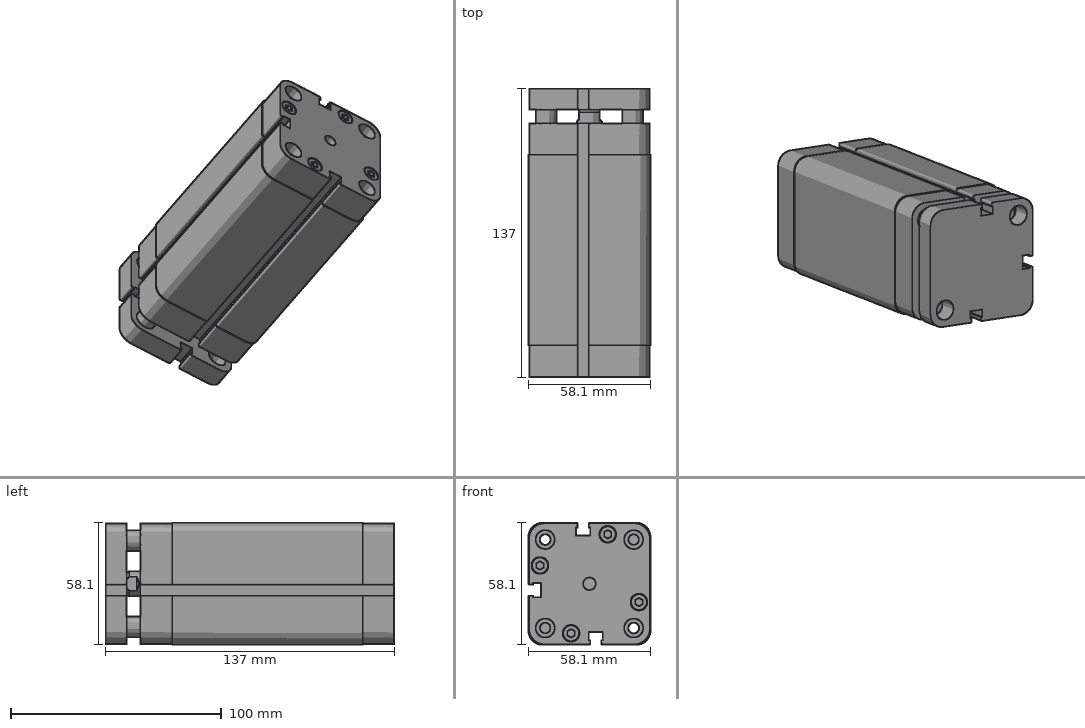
import cadquery as cq
import math


cap_length = 15.0
tube_length = 90.5
gap_length = 6.5
plate_length = 10.0
body_length = 2 * cap_length + tube_length
plate_start = body_length + gap_length

tube_width = 58.1
cap_width = 57.3
corner_radius = 7.0

slot_offset = -3.0
slot_width = 6.6
slot_neck_width = 5.2
slot_floor_height = 23.0
slot_shoulder_height = 26.7
slot_mouth_radius = 0.7
slot_angles = (0, 90, 180)

mount_hole_offset = 21.0
mount_hole_diameter = 5.0
mount_counterbore_diameter = 9.0
mount_counterbore_depth = 6.0

screw_offset_across = 8.7
screw_offset_out = 23.5
screw_pocket_diameter = 8.0
screw_pocket_depth = 4.0
screw_head_diameter = 7.5
screw_head_recess = 0.2
socket_across_flats = 3.5
socket_depth = 2.0

center_hole_diameter = 6.0
center_hole_depth = cap_length

rod_diameter = 12.0
rod_chamfer_length = 1.2
rod_chamfer_depth = 0.6
rod_across_flats = 10.0
flat_length = 4.7

pin_diameter = 10.0
pin_offset = 20.5
plate_hole_diameter = 9.5


def plane_at(y):
    """XZ workplane at position y; sketches on it extrude toward +Y with a negative distance."""
    return cq.Workplane("XZ", origin=(0, y, 0))


def bar(points, diameter, y_start, length):
    """Round bars at the given (x, z) points, running toward +Y."""
    return plane_at(y_start).pushPoints(points).circle(diameter / 2).extrude(-length)


def turned(point, angle):
    """Turn an (x, z) point about the part axis."""
    x, z = point
    c = math.cos(math.radians(angle))
    s = math.sin(math.radians(angle))
    return (x * c - z * s, x * s + z * c)


def slot_cutter(width, y_start, length):
    """T-slot with a rounded mouth, for the top face of a section of this width."""
    face = width / 2
    radius = slot_mouth_radius
    half_slot = slot_width / 2
    half_neck = slot_neck_width / 2
    arc_inset = radius * (1 - math.sqrt(0.5))
    return (
        cq.Workplane("XZ", origin=(slot_offset, y_start, 0))
        .moveTo(-half_slot, slot_floor_height)
        .lineTo(half_slot, slot_floor_height)
        .lineTo(half_slot, slot_shoulder_height)
        .lineTo(half_neck, slot_shoulder_height)
        .lineTo(half_neck, face - radius)
        .threePointArc((half_neck + arc_inset, face - arc_inset), (half_neck + radius, face))
        .lineTo(-half_neck - radius, face)
        .threePointArc((-half_neck - arc_inset, face - arc_inset), (-half_neck, face - radius))
        .lineTo(-half_neck, slot_shoulder_height)
        .lineTo(-half_slot, slot_shoulder_height)
        .close()
        .extrude(-length)
    )


def section(width, y_start, length):
    """Rounded square block with its sensor slots."""
    block = plane_at(y_start).rect(width, width).extrude(-length).edges("|Y").fillet(corner_radius)
    cutter = slot_cutter(width, y_start, length)
    for angle in slot_angles:
        block = block.cut(cutter.rotate((0, 0, 0), (0, -1, 0), angle))
    return block


def body():
    """Rear cap, tube and front cap with the mounting holes and the blind center hole."""
    corner = (mount_hole_offset, mount_hole_offset)
    corners = [turned(corner, 90 * i) for i in range(4)]
    return (
        section(cap_width, 0, cap_length)
        .union(section(tube_width, cap_length, tube_length))
        .union(section(cap_width, cap_length + tube_length, cap_length))
        .cut(bar(corners, mount_hole_diameter, 0, body_length))
        .cut(bar(corners, mount_counterbore_diameter, 0, mount_counterbore_depth))
        .cut(bar([(0, 0)], center_hole_diameter, 0, center_hole_depth))
    )


def add_cap_screws(part):
    """Sink a socket head screw into the rear face beside each side."""
    screw = (screw_offset_across, screw_offset_out)
    points = [turned(screw, 90 * i) for i in range(4)]
    pockets = bar(points, screw_pocket_diameter, 0, screw_pocket_depth)
    head_length = screw_pocket_depth - screw_head_recess
    heads = bar(points, screw_head_diameter, screw_head_recess, head_length)
    socket_across_corners = socket_across_flats / math.cos(math.pi / 6)
    socket = (
        plane_at(screw_head_recess)
        .polygon(6, socket_across_corners)
        .extrude(-socket_depth)
        .rotate((0, 0, 0), (0, 1, 0), 90)
    )
    part = part.cut(pockets).union(heads)
    for x, z in points:
        part = part.cut(socket.translate((x, 0, z)))
    return part


def rod():
    """Chamfered piston rod; each wrench flat runs out through a 45 degree slope."""
    rod_radius = rod_diameter / 2
    half_flats = rod_across_flats / 2
    flat_end = plate_start - flat_length
    slope = rod_radius - half_flats
    shape = (
        bar([(0, 0)], rod_diameter, body_length, gap_length)
        .faces(">Y")
        .chamfer(rod_chamfer_length, rod_chamfer_depth)
    )
    flat_cutter = (
        cq.Workplane("XY")
        .moveTo(half_flats, plate_start)
        .lineTo(rod_radius, plate_start)
        .lineTo(rod_radius, flat_end - slope)
        .lineTo(half_flats, flat_end)
        .close()
        .extrude(rod_radius, both=True)
    )
    return shape.cut(flat_cutter).cut(flat_cutter.mirror("YZ"))


def front_plate():
    """Moving plate with its two clearance holes."""
    holes = [(-pin_offset, pin_offset), (pin_offset, -pin_offset)]
    plate = section(cap_width, plate_start, plate_length)
    return plate.cut(bar(holes, plate_hole_diameter, plate_start, plate_length))


def guide_pins():
    """Two pins that join the body to the plate."""
    points = [(pin_offset, pin_offset), (-pin_offset, -pin_offset)]
    return bar(points, pin_diameter, body_length, gap_length)


result = add_cap_screws(body()).union(rod()).union(guide_pins()).union(front_plate())